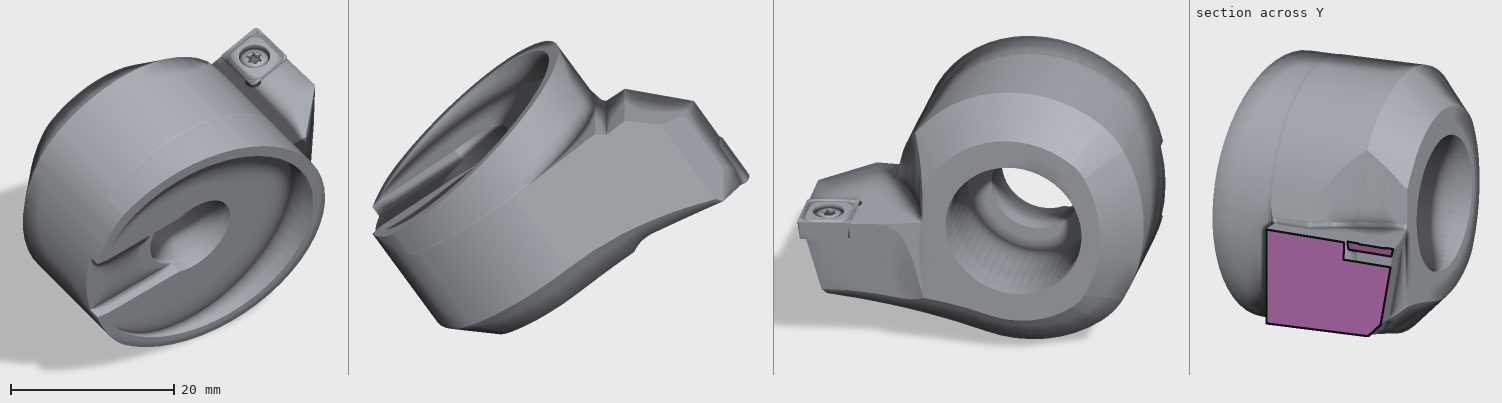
import cadquery as cq
import math


HEAD_R = 16.6
FRONT_CHAMFER = 4.53
FLAT_SIDE_Y = -15.38
FLAT_SIDE_R = 20.75
BLEND_R = 10.05
TAIL_R = 16.55
TAIL_START_X = 16.3
TAIL_STEP_LENGTH = 0.3
END_FACE_TILT = 9.0
END_FACE_X = 23.8
COUNTERBORE_D = 17.0
COUNTERBORE_DEPTH = 13.0
BORE_D = 11.0
CAVITY_R = 14.9
CAVITY_FLOOR_X = 19.05
NOTCH_FLOOR_X = 17.4
NOTCH_WIDTH = 10.05

UNDERSIDE_ANGLE = 15.7
FLANK_ANGLE = 15.5
WEDGE_ANGLE = 37.7
ARM_CORNER_Y = 23.42
ARM_KNEE = (25.55, -5.6)
ARM_END_Y = 26.5
ARM_TOP_Z = 1.1
ARM_BACK_X = 15.0
ARM_ROOT_Y = 11.55
ARM_SIDE_SLOPE = 0.287
ARM_CORNER_SUM = 35.3
BACK_FOOT_Y = 17.5
BACK_FOOT = 1.0
SCOOP_R = 45.67
SIDE_RELIEF_ANGLE = 10.0
SIDE_RELIEF_X = 1.55
SIDE_RELIEF_END_Y = 14.75
SIDE_RELIEF_R = 4.8
NOSE_RELIEF_POINTS = ((-2.55, 25.48, -2.3), (-0.95, 23.85, -9.7), (1.68, 25.65, -5.6))
WALL_START = (0.0, 11.4)
WALL_MIDDLE = (5.45, 13.55)
WALL_END = (10.75, 16.95)
WALL_FILLET = 0.55
RAKE_ANGLE = 2.1

INSERT_HALF = 3.2
INSERT_CENTRE = (0.63, 23.35)
INSERT_SKEW = 10.0
INSERT_NOSE_R = 0.4
INSERT_TOP_Z = 0.15
INSERT_THICKNESS = 2.4
INSERT_CLEARANCE = 7.0
GROOVE_INSET = 0.38
GROOVE_BEND_R = 1.4
GROOVE_R = 0.4
GROOVE_DEPTH = 0.15
NOSE_DIMPLE_INSET = 0.63
INSERT_HOLE_D = 2.8
INSERT_HOLE_TOP_D = 3.85
INSERT_HOLE_TOP_DEPTH = 0.75
HOLE_CONE_DEPTH = 0.85
CORNER_RELIEF_D = 2.0
CORNER_RELIEF_AT = (3.7, 20.8)
SCREW_OFFSET = 0.1
SCREW_HEAD_D = 3.4
SCREW_D = 2.5
SCREW_TOP_D = 1.68
SCREW_TOP_Z = 0.1
SCREW_CROWN = 0.4
SCREW_CONE = 0.75
SCREW_LENGTH = 5.85
SOCKET_D = 2.05
SOCKET_RECESS_DEPTH = 0.2
SOCKET_DEPTH = 0.85
SOCKET_LOBES = 6
LOBE_R = 0.4
LOBE_CENTRE_R = 1.11

INSERT_BOTTOM_Z = INSERT_TOP_Z - INSERT_THICKNESS
SCREW_CENTRE = (INSERT_CENTRE[0] + SCREW_OFFSET, INSERT_CENTRE[1] - SCREW_OFFSET)

OVERSIZE = 41.9


def sind(degrees):
    return math.sin(math.radians(degrees))


def cosd(degrees):
    return math.cos(math.radians(degrees))


def tand(degrees):
    return math.tan(math.radians(degrees))


def tilt(shape):
    """Turn a body built level so that it lies on the raked face."""
    return shape.rotate((0, 0, 0), (0, 1, 0), -RAKE_ANGLE)


def yz_prism(outline, x_start, x_end):
    """Closed outline in Y and Z, extruded along X."""
    return outline(cq.Workplane("YZ", origin=(x_start, 0, 0))).close().extrude(x_end - x_start)


def head():
    flat_centre_y = FLAT_SIDE_Y + FLAT_SIDE_R
    near = HEAD_R - BLEND_R
    far = FLAT_SIDE_R - BLEND_R
    blend_y = (near**2 - far**2 + flat_centre_y**2) / (2 * flat_centre_y)
    blend_z = math.sqrt(near**2 - blend_y**2)
    on_head = (blend_y * HEAD_R / near, blend_z * HEAD_R / near)
    to_flat = FLAT_SIDE_R / far
    on_flat = (flat_centre_y + (blend_y - flat_centre_y) * to_flat, blend_z * to_flat)
    mid_y = on_head[0] / HEAD_R + (on_flat[0] - flat_centre_y) / FLAT_SIDE_R
    mid_z = on_head[1] / HEAD_R + on_flat[1] / FLAT_SIDE_R
    mid_length = math.hypot(mid_y, mid_z)
    mid = (blend_y + BLEND_R * mid_y / mid_length, blend_z + BLEND_R * mid_z / mid_length)

    def outline(plane):
        return (
            plane.moveTo(on_head[0], -on_head[1])
            .threePointArc((HEAD_R, 0), on_head)
            .threePointArc(mid, on_flat)
            .threePointArc((FLAT_SIDE_Y, 0), (on_flat[0], -on_flat[1]))
            .threePointArc((mid[0], -mid[1]), (on_head[0], -on_head[1]))
        )

    body = yz_prism(outline, 0, END_FACE_X).faces("<X").edges().chamfer(FRONT_CHAMFER)
    return body.cut(tail_turning())


def tail_turning():
    """Thin ring turned off the tail, with a short taper at its start."""
    return (
        cq.Workplane("XY")
        .moveTo(TAIL_START_X - TAIL_STEP_LENGTH, HEAD_R)
        .lineTo(TAIL_START_X, TAIL_R)
        .lineTo(END_FACE_X, TAIL_R)
        .lineTo(END_FACE_X, OVERSIZE)
        .lineTo(TAIL_START_X - TAIL_STEP_LENGTH, OVERSIZE)
        .close()
        .revolve(360, (0, 0, 0), (1, 0, 0))
    )


def front_wedge():
    """Flat continuation of the front chamfer, tangent to the cone, towards the arm."""
    plane = cq.Plane(
        origin=(0, 0, 0), xDir=(-1, 0, 0), normal=(0, sind(WEDGE_ANGLE), -cosd(WEDGE_ANGLE))
    )
    length = HEAD_R * tand(WEDGE_ANGLE) - ARM_TOP_Z
    profile = [(0, 0), (0, HEAD_R - FRONT_CHAMFER), (-FRONT_CHAMFER, HEAD_R), (-FRONT_CHAMFER, 0)]
    return cq.Workplane(plane).polyline(profile).close().extrude(length)


def arm():
    under = (HEAD_R * sind(UNDERSIDE_ANGLE), -HEAD_R * cosd(UNDERSIDE_ANGLE))
    flank = (HEAD_R * cosd(FLANK_ANGLE), HEAD_R * sind(FLANK_ANGLE))
    corner_z = under[1] + (ARM_CORNER_Y - under[0]) * tand(UNDERSIDE_ANGLE)
    flank_top_y = flank[0] + (flank[1] - ARM_TOP_Z) * tand(FLANK_ANGLE)
    end_view = [
        (0, 0), under, (ARM_CORNER_Y, corner_z), ARM_KNEE,
        (ARM_END_Y, ARM_TOP_Z), (flank_top_y, ARM_TOP_Z), flank,
    ]
    back_x = ARM_BACK_X + BACK_FOOT
    plan = [
        (0, 0), (0, ARM_ROOT_Y),
        (-ARM_SIDE_SLOPE * (ARM_END_Y - ARM_ROOT_Y), ARM_END_Y),
        (ARM_CORNER_SUM - ARM_END_Y, ARM_END_Y),
        (ARM_BACK_X, ARM_CORNER_SUM - ARM_BACK_X),
        (ARM_BACK_X, BACK_FOOT_Y), (back_x, BACK_FOOT_Y - BACK_FOOT), (back_x, 0),
    ]
    body = yz_prism(lambda plane: plane.polyline(end_view), -OVERSIZE, OVERSIZE)
    body = body.intersect(
        cq.Workplane("XY", origin=(0, 0, -OVERSIZE)).polyline(plan).close().extrude(2 * OVERSIZE)
    )
    return body.cut(under_scoop()).cut(side_relief()).cut(nose_relief())


def under_scoop():
    """Hollow 45-degree cone that carries the front chamfer on along the underside."""
    reach = HEAD_R - FRONT_CHAMFER + SCOOP_R
    length = 2 * FRONT_CHAMFER
    cone = cq.Solid.makeCone(
        SCOOP_R + length, SCOOP_R - length, 2 * length,
        cq.Vector(-length, reach * sind(UNDERSIDE_ANGLE), -reach * cosd(UNDERSIDE_ANGLE)),
        cq.Vector(1, 0, 0),
    )
    return cq.Workplane(obj=cone)


def side_relief():
    """Leaning side face under the cutting edge, ending in a hollow round at the head."""
    slope = tand(INSERT_SKEW)
    tangent = (SIDE_RELIEF_X - SIDE_RELIEF_END_Y * slope, SIDE_RELIEF_END_Y)
    centre = (
        tangent[0] - SIDE_RELIEF_R * cosd(INSERT_SKEW),
        tangent[1] - SIDE_RELIEF_R * sind(INSERT_SKEW),
    )
    far_y = SIDE_RELIEF_END_Y + OVERSIZE
    block = [
        tangent, (SIDE_RELIEF_X - far_y * slope, far_y),
        (-OVERSIZE, far_y), (-OVERSIZE, centre[1]), centre,
    ]
    level = cq.Workplane("XY", origin=(0, 0, -OVERSIZE))
    cutter = level.polyline(block).close().extrude(2 * OVERSIZE)
    cutter = cutter.union(level.center(*centre).circle(SIDE_RELIEF_R).extrude(2 * OVERSIZE))
    return cutter.rotate((0, 0, 0), (0, 1, 0), -SIDE_RELIEF_ANGLE)


def nose_relief():
    """Leaning flat that clears the arm corner below the insert nose."""
    first, second, third = (cq.Vector(*point) for point in NOSE_RELIEF_POINTS)
    normal = (second - first).cross(third - first)
    if normal.y < 0:
        normal = normal * -1
    plane = cq.Plane(origin=first.toTuple(), xDir=(second - first).toTuple(), normal=normal.toTuple())
    return cq.Workplane(plane).rect(2 * OVERSIZE, 2 * OVERSIZE).extrude(OVERSIZE)


def rake_clearance():
    """Space above the rake face, bounded by a hollow wall with a filleted foot."""
    cutter = (
        cq.Workplane("XY")
        .moveTo(*WALL_START)
        .threePointArc(WALL_MIDDLE, WALL_END)
        .lineTo(OVERSIZE, WALL_END[1])
        .lineTo(OVERSIZE, OVERSIZE)
        .lineTo(-OVERSIZE, OVERSIZE)
        .lineTo(-OVERSIZE, WALL_START[1])
        .close()
        .extrude(OVERSIZE)
    )
    near_wall = cq.selectors.BoxSelector(
        (-WALL_FILLET, WALL_START[1], -WALL_FILLET), (OVERSIZE, BACK_FOOT_Y, WALL_FILLET)
    )
    wall_foot = cutter.faces("<Z").edges(near_wall)
    return tilt(wall_foot.fillet(WALL_FILLET))


def acute_corner_x(half):
    """Distance along X from the insert centre to the acute corners of a sharp rhombus."""
    return half * (1 + sind(INSERT_SKEW)) / cosd(INSERT_SKEW)


def rhombus(half, corner_r, z):
    """Rounded 80-degree rhombus centred on the insert; `half` is half its width across the sides."""
    core = half - corner_r
    acute_x = acute_corner_x(core)
    obtuse_x = acute_x - 2 * core * tand(INSERT_SKEW)
    corners = [(-acute_x, core), (obtuse_x, core), (acute_x, -core), (-obtuse_x, -core)]
    return (
        cq.Workplane("XY", origin=(*INSERT_CENTRE, z)).polyline(corners).close().offset2D(corner_r)
    )


def insert_groove():
    """Round-bottomed chip groove along the cutting edges, with a dimple at each acute nose."""
    height = INSERT_TOP_Z - GROOVE_DEPTH + GROOVE_R
    path = rhombus(INSERT_HALF - GROOVE_INSET, GROOVE_BEND_R, height)
    start = path.val().startPoint().toTuple()
    groove = cq.Workplane("YZ", origin=start).circle(GROOVE_R).sweep(path)
    half = INSERT_HALF - NOSE_DIMPLE_INSET
    for side in (-1, 1):
        x = INSERT_CENTRE[0] + side * acute_corner_x(half)
        y = INSERT_CENTRE[1] - side * half
        groove = groove.union(cq.Workplane("XY", origin=(x, y, height)).sphere(GROOVE_R))
    return groove


def insert_hole():
    """Clearance hole with a wide mouth and a conical seat."""
    seat_z = INSERT_TOP_Z - INSERT_HOLE_TOP_DEPTH
    profile = [
        (0, INSERT_TOP_Z), (INSERT_HOLE_TOP_D / 2, INSERT_TOP_Z), (INSERT_HOLE_TOP_D / 2, seat_z),
        (INSERT_HOLE_D / 2, seat_z - HOLE_CONE_DEPTH), (INSERT_HOLE_D / 2, INSERT_BOTTOM_Z),
        (0, INSERT_BOTTOM_Z),
    ]
    return turned(profile, INSERT_CENTRE)


def turned(profile, centre):
    """Revolve a (radius, Z) profile about the upright axis at `centre`."""
    return (
        cq.Workplane("XZ", origin=(*centre, 0)).polyline(profile).close()
        .revolve(360, (0, 0, 0), (0, 1, 0))
    )


def cutting_insert():
    body = rhombus(INSERT_HALF, INSERT_NOSE_R, INSERT_TOP_Z)
    body = body.extrude(-INSERT_THICKNESS, taper=INSERT_CLEARANCE)
    return tilt(body.cut(insert_groove()).cut(insert_hole()))


def insert_pocket():
    """Straight-walled seat with a drilled relief at its inner corner."""
    depth = INSERT_THICKNESS + ARM_TOP_Z
    seat = rhombus(INSERT_HALF, INSERT_NOSE_R, INSERT_BOTTOM_Z).extrude(depth)
    relief = cq.Workplane("XY", origin=(*CORNER_RELIEF_AT, INSERT_BOTTOM_Z))
    return tilt(seat.union(relief.circle(CORNER_RELIEF_D / 2).extrude(depth)))


def screw_socket():
    """Six-lobed star under a shallow round recess."""
    level = cq.Workplane("XY", origin=(*SCREW_CENTRE, SCREW_TOP_Z))
    star = level.circle(SOCKET_D / 2).extrude(-SOCKET_DEPTH)
    star = star.cut(
        level.polarArray(LOBE_CENTRE_R, 0, 360, SOCKET_LOBES).circle(LOBE_R).extrude(-SOCKET_DEPTH)
    )
    return star.union(level.circle(SOCKET_D / 2).extrude(-SOCKET_RECESS_DEPTH))


def clamp_screw():
    rim_z = SCREW_TOP_Z - SCREW_CROWN
    profile = [
        (0, SCREW_TOP_Z), (SCREW_TOP_D / 2, SCREW_TOP_Z), (SCREW_HEAD_D / 2, rim_z),
        (SCREW_D / 2, rim_z - SCREW_CONE), (SCREW_D / 2, -SCREW_LENGTH), (0, -SCREW_LENGTH),
    ]
    return tilt(turned(profile, SCREW_CENTRE).cut(screw_socket()))


def screw_hole():
    hole = cq.Workplane("XY", origin=(*SCREW_CENTRE, -SCREW_LENGTH))
    return tilt(hole.circle(SCREW_D / 2).extrude(SCREW_LENGTH))


def x_cylinder(diameter, x_start, x_end):
    return cq.Workplane("YZ", origin=(x_start, 0, 0)).circle(diameter / 2).extrude(x_end - x_start)


def end_notch():
    """Driving slot from the flattened side into the bore."""
    length = END_FACE_X - NOTCH_FLOOR_X
    corner = cq.Workplane("XY", origin=(NOTCH_FLOOR_X, -OVERSIZE, 0))
    return corner.box(length, OVERSIZE, NOTCH_WIDTH, centered=(False, False, True))


def end_trim():
    """Everything beyond the tilted end face."""
    slope = tand(END_FACE_TILT)
    top = (END_FACE_X + (OVERSIZE - TAIL_R) * slope, OVERSIZE)
    bottom = (END_FACE_X - (OVERSIZE + TAIL_R) * slope, -OVERSIZE)
    corners = [top, bottom, (2 * OVERSIZE, -OVERSIZE), (2 * OVERSIZE, OVERSIZE)]
    level = cq.Workplane("XY", origin=(0, 0, -OVERSIZE))
    return level.polyline(corners).close().extrude(2 * OVERSIZE)


def tool_holder():
    body = head().union(front_wedge()).union(arm())
    body = body.cut(rake_clearance()).cut(insert_pocket()).cut(screw_hole())
    body = body.cut(x_cylinder(COUNTERBORE_D, 0, COUNTERBORE_DEPTH))
    body = body.cut(x_cylinder(BORE_D, 0, END_FACE_X))
    body = body.cut(x_cylinder(2 * CAVITY_R, CAVITY_FLOOR_X, END_FACE_X))
    return body.cut(end_notch()).cut(end_trim())


holder = tool_holder()
insert = cutting_insert()
screw = clamp_screw()
result = cq.Compound.makeCompound([holder.val(), insert.val(), screw.val()])